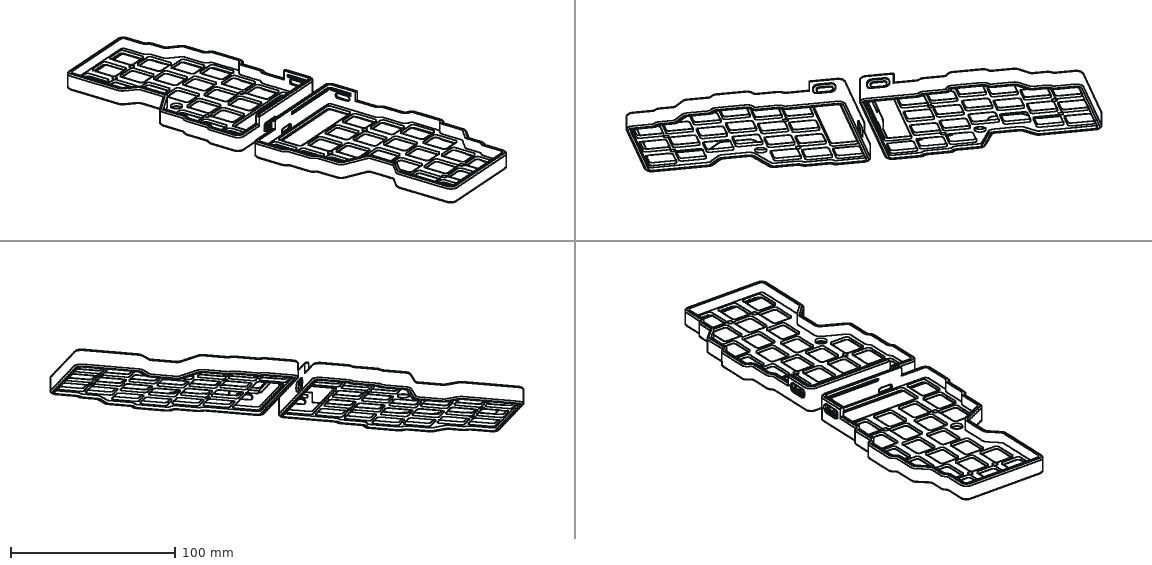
import cadquery as cq

half_length = 142.2
half_gap = 4.5
half_depth = 89.5 / 2
corner_radius = 4.5
key_margin = 0.5
hollow_radius = 2.0
wall = 2.5
edge_chamfer = 1.0
case_height = 10.8
total_height = 17.0

shoulder_x = -109.2
waist_left = -95.0
waist_right = -72.5
waist_y = -18.2
waist_foot = -103.0

plate_top = 4.0
plate_thickness = 2.0

key_width = 17.0
key_height = 14.0
key_radius = 2.0
column_gap = 1.85
row_gap = 4.98
column_pitch = key_width + column_gap
row_pitch = key_height + row_gap
first_column_left = -138.8
column_tops = [26.0, 28.2, 36.5, 40.0, 35.3, 33.0]
column_rows = [3, 3, 3, 3, 4, 4]
tallest_column = 3
controller_column = len(column_tops)
controller_bottom = -22.8
thumb_key_top = -26.0
back_at_controller = column_tops[-1] + key_margin + corner_radius

screw_diameter = 3.0
screw_places = [(0, 0), (0, 1), (4, 0), (4, 2)]
reset_diameter = 7.0
reset_center = (-68.3, -19.0)

raised_left = -26.2
raised_front = -23.5
ridge_depth = 0.9
ridge_height = 1.7
ridge_middle = 14.2
ridge_left = -23.0
ridge_front = -5.0

port_width = 10.2
port_height = 3.5
port_recess_width = 14.2
port_recess_height = 6.3
port_recess_depth = 1.28
usb_height = 10.8
link_height = 6.0
link_y = -11.0


def column_left(column):
    return first_column_left + column * column_pitch


def column_right(column):
    return column_left(column) + key_width


def key_top(column, row):
    return column_tops[column] - row * row_pitch


def key_bottom(column, row):
    return key_top(column, row) - key_height


def core_outline():
    """Corner points of the outline before it is grown by the corner radius, clockwise."""
    left = -half_length + corner_radius
    right = -half_gap - corner_radius
    front = -half_depth + corner_radius
    back = [top + key_margin for top in column_tops]
    back[tallest_column] = half_depth - corner_radius
    front_left = key_bottom(0, 2) - key_margin
    return [
        (left, front_left),
        (left, back[0]),
        (column_left(1) - key_margin, back[0]),
        (column_left(1) - key_margin, back[1]),
        (shoulder_x, back[1]),
        (column_left(2) - key_margin, back[2]),
        (column_left(3) - key_margin, back[2]),
        (column_left(3) - key_margin, back[3]),
        (column_right(3) + key_margin, back[3]),
        (column_right(3) + key_margin, back[4]),
        (column_right(4) + key_margin, back[4]),
        (column_right(4) + key_margin, back[5]),
        (right, back[5]),
        (right, front),
        (column_left(6) - key_margin, front),
        (column_left(6) - key_margin, key_bottom(5, 3) - key_margin),
        (column_left(5) - key_margin, key_bottom(5, 3) - key_margin),
        (column_left(5) - key_margin, key_bottom(4, 3) - key_margin),
        (column_left(4) - key_margin, key_bottom(4, 3) - key_margin),
        (waist_right, waist_y),
        (waist_left, waist_y),
        (waist_foot, front_left),
    ]


def outline_block(inset, bottom, top):
    """Block with the case outline, moved inwards by the inset."""
    core = cq.Workplane("XY").workplane(offset=bottom).polyline(core_outline()).close()
    grown = core.offset2D(corner_radius + hollow_radius)
    return grown.offset2D(-hollow_radius - inset).extrude(top - bottom)


def box_between(low, high):
    size = [b - a for a, b in zip(low, high)]
    return cq.Workplane("XY").box(*size, centered=False).translate(low)


def shell():
    """Outer wall, chamfered along its outer edges and raised around the controller."""
    low = outline_block(0, 0, case_height).faces("<Z or >Z").chamfer(edge_chamfer)
    high = outline_block(0, edge_chamfer, total_height).faces(">Z").chamfer(edge_chamfer)
    raised = box_between((raised_left, raised_front, plate_top), (0, half_depth, total_height))
    raised = raised.faces("<Y").edges(">Z").chamfer(edge_chamfer)
    body = low.union(high.intersect(raised))
    return body.cut(outline_block(wall, 0, total_height))


def controller_ridge():
    """Snap ridge, flat on top, along the back wall and the wall facing the other case."""
    back = back_at_controller - wall
    side = -half_gap - wall
    half = ridge_height / 2

    def profile(plane, face):
        return cq.Workplane(plane).polyline([
            (face, ridge_middle - half),
            (face - ridge_depth, ridge_middle + half),
            (face, ridge_middle + half),
        ]).close()

    along_back = profile("YZ", back).extrude(side - ridge_left).translate((ridge_left, 0, 0))
    along_side = profile("XZ", side).extrude(back - ridge_front).translate((0, back, 0))
    return along_back.union(along_side)


def plate():
    """Plate that carries the keys, reaching into the middle of the wall."""
    return outline_block(wall / 2, plate_top - plate_thickness, plate_top)


def key_hole(column, top, bottom):
    left = column_left(column)
    hole = box_between((left, bottom, 0), (left + key_width, top, plate_top))
    return hole.edges("|Z").fillet(key_radius)


def round_hole(center, diameter):
    return cq.Workplane("XY").center(*center).circle(diameter / 2).extrude(plate_top)


def screw_center(column, row):
    """Middle of the web between a column and the next, halfway between their row gaps."""
    next_column = column + 1
    x = (column_right(column) + column_left(next_column)) / 2
    gap_edges = [
        key_bottom(column, row),
        key_top(column, row + 1),
        key_bottom(next_column, row),
        key_top(next_column, row + 1),
    ]
    return x, sum(gap_edges) / len(gap_edges)


def plate_holes():
    holes = []
    for column, rows in enumerate(column_rows):
        for row in range(rows):
            holes.append(key_hole(column, key_top(column, row), key_bottom(column, row)))
    holes.append(key_hole(controller_column, column_tops[-1], controller_bottom))
    holes.append(key_hole(controller_column, thumb_key_top, thumb_key_top - key_height))
    for column, row in screw_places:
        holes.append(round_hole(screw_center(column, row), screw_diameter))
    holes.append(round_hole(reset_center, reset_diameter))
    return holes


def port(face):
    """Slot through a wall with a wider recess outside; the face's normal points outwards."""
    slot = face.slot2D(port_width, port_height).extrude(-2 * wall)
    recess = face.slot2D(port_recess_width, port_recess_height).extrude(-port_recess_depth)
    return slot.union(recess)


def usb_port():
    x = column_left(controller_column) + key_width / 2
    return port(cq.Workplane(cq.Plane((x, back_at_controller, usb_height), (-1, 0, 0), (0, 1, 0))))


def link_port():
    return port(cq.Workplane(cq.Plane((-half_gap, link_y, link_height), (0, 1, 0), (1, 0, 0))))


def left_case():
    case = shell().union(plate()).union(controller_ridge())
    for hole in plate_holes():
        case = case.cut(hole)
    return case.cut(usb_port()).cut(link_port())


case = left_case()
mirrored_case = case.mirror("YZ")
result = cq.Compound.makeCompound([case.val(), mirrored_case.val()])